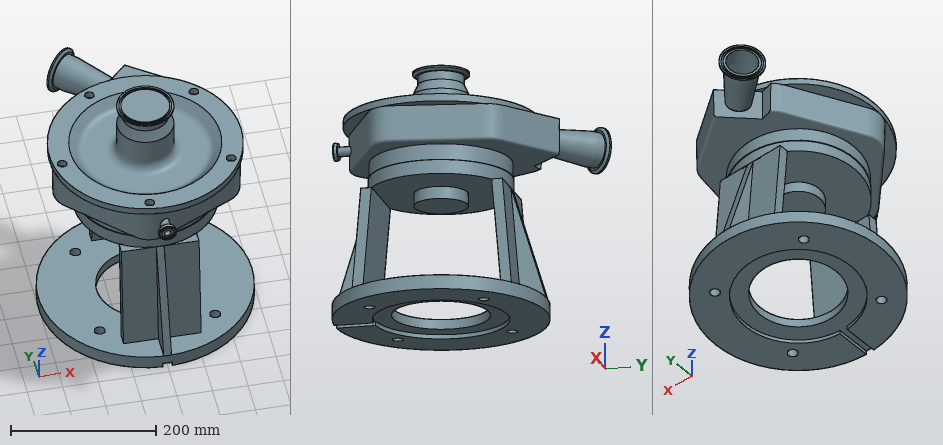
import cadquery as cq
import math

overall_length = 379.0

base_top = 20.0
stub_bottom = 162.5
ring_bottom = 180.0
ring_top = 200.0
casing_bottom = 222.8
flange_top = 284.0
flange_thickness = 10.2
neck_shoulder = 320.0
neck_waist = 335.3
overall_height = 353.0
casing_top = flange_top - flange_thickness
outlet_height = 249.3
drain_height = 250.5

base_radius = 150.0
base_bore_radius = 68.2
base_recess_radius = 94.7
base_recess_depth = 6.0
base_hole_diameter = 14.8
base_hole_circle = 114.8
base_hole_count = 4
vent_slot_width = 13.3

leg_width = 109.0
leg_thickness = 15.0
leg_outer_foot = 114.0
leg_outer_head = 100.5
rib_thickness = 11.0

ring_radius = 100.5
collar_radius = 99.3
stub_radius = 37.5
flange_radius = 135.0
dish_depth = 15.5
dish_rim_radius = 105.5
dish_blend_radius = 15.0
dish_taper = 45.0
neck_radius = 39.5
waist_radius = 32.2
neck_blend_radius = 15.0

corner_count = 5
corner_step = 360 / corner_count
first_corner_angle = 45.0
bolt_circle = 122.5
bolt_hole_diameter = 13.0

corner_circle = 99.0
corner_radius = 35.0
casing_draft = 1.0
throat_shift = 11.0
throat_lip_angle = 124.0
casing_edge_radius = 3.8

outlet_angle = 135.0
outlet_offset = 90.5
outlet_wall_distance = 115.0
outlet_block_half_width = 33.5
outlet_bevel = 4.0
outlet_small_radius = 18.5
outlet_large_radius = 25.0
outlet_taper_end = 181.0
outlet_face_distance = 199.5
outlet_flange_radius = 32.2
outlet_bore_radius = 22.7
outlet_throat_radius = 22.5
outlet_bore_end_radius = 13.3
outlet_bore_straight = 13.0
outlet_bore_throat = 26.5

outlet_reach = (outlet_face_distance + outlet_offset + outlet_flange_radius) * math.sqrt(0.5)
drain_face_distance = overall_length - outlet_reach
drain_tube_radius = 7.0
drain_bore_radius = 4.5
drain_flange_radius = 12.5
drain_back_drop = 0.8

lip_thickness = 2.5
clamp_thickness = 5.5
clamp_back_drop = 4.0
groove_depth = 1.0
groove_width = 2.5
groove_start = 1.5


def polar(radius, angle):
    """Point at a distance and an angle in degrees from the origin."""
    turn = math.radians(angle)
    return (radius * math.cos(turn), radius * math.sin(turn))


def shifted(point, distance, angle):
    """Point moved by a distance in a direction given in degrees."""
    step = polar(distance, angle)
    return (point[0] + step[0], point[1] + step[1])


def reach(point, angle):
    """How far a point lies from the origin along a direction given in degrees."""
    turn = math.radians(angle)
    return point[0] * math.cos(turn) + point[1] * math.sin(turn)


def cylinder(radius, bottom, top):
    """Upright cylinder on the main axis."""
    return cq.Workplane("XY").workplane(offset=bottom).circle(radius).extrude(top - bottom)


def clamp_outline(outline, tube_radius, lip_radius, face, back_drop=clamp_back_drop):
    """Continue a half section up a tube and over its clamp flange to the grooved face."""
    groove_inner = tube_radius + groove_start
    groove_outer = groove_inner + groove_width
    return (
        outline.lineTo(tube_radius, face - clamp_thickness)
        .lineTo(lip_radius - back_drop, face - clamp_thickness)
        .lineTo(lip_radius, face - lip_thickness)
        .lineTo(lip_radius, face)
        .lineTo(groove_outer, face)
        .lineTo(groove_outer, face - groove_depth)
        .lineTo(groove_inner, face - groove_depth)
        .lineTo(groove_inner, face)
    )


def make_base():
    plate = cylinder(base_radius, 0, base_top)
    bore = cylinder(base_bore_radius, 0, base_top)
    recess = cylinder(base_recess_radius, 0, base_recess_depth)
    holes = (
        cq.Workplane("XY")
        .polarArray(base_hole_circle, 45, 360, base_hole_count)
        .circle(base_hole_diameter / 2)
        .extrude(base_top)
    )
    slot = cq.Workplane("XY").box(
        vent_slot_width, base_radius, base_recess_depth, centered=(True, False, False)
    ).translate((0, -base_radius, 0))
    return plate.cut(bore).cut(recess).cut(holes).cut(slot)


def make_leg():
    """Leaning plate with a triangular outer rib, on the -Y side."""
    plate = (
        cq.Workplane("YZ")
        .moveTo(-leg_outer_foot, base_top)
        .lineTo(-leg_outer_head, ring_bottom)
        .lineTo(leg_thickness - leg_outer_head, ring_bottom)
        .lineTo(leg_thickness - leg_outer_foot, base_top)
        .close()
        .extrude(leg_width / 2, both=True)
    )
    rib = (
        cq.Workplane("YZ")
        .moveTo(-base_radius, base_top)
        .lineTo(-leg_outer_head, ring_bottom)
        .lineTo(-leg_outer_foot, base_top)
        .close()
        .extrude(rib_thickness / 2, both=True)
    )
    return plate.union(rib)


def make_body():
    """Turned core: stub, ring, collar, flange and inlet neck."""
    outline = (
        cq.Workplane("XZ")
        .moveTo(0, stub_bottom)
        .lineTo(stub_radius, stub_bottom)
        .lineTo(stub_radius, ring_bottom)
        .lineTo(ring_radius, ring_bottom)
        .lineTo(ring_radius, ring_top)
        .lineTo(collar_radius, ring_top)
        .lineTo(collar_radius, casing_top)
        .lineTo(flange_radius, casing_top)
        .lineTo(flange_radius, flange_top)
        .lineTo(neck_radius, flange_top)
        .lineTo(neck_radius, neck_shoulder)
        .lineTo(waist_radius, neck_waist)
    )
    outline = clamp_outline(outline, waist_radius, neck_radius, overall_height)
    return outline.lineTo(0, overall_height).close().revolve(360, (0, 0), (0, 1))


def make_dish():
    """Ring-shaped hollow sunk into the flange around the neck."""
    floor = flange_top - dish_depth
    taper = math.radians(dish_taper)
    blend_rise = dish_blend_radius * (1 - math.cos(taper))
    blend_outer = dish_rim_radius - (dish_depth - blend_rise) / math.tan(taper)
    blend_inner = blend_outer - dish_blend_radius * math.sin(taper)
    blend_mid = (
        blend_inner + dish_blend_radius * math.sin(taper / 2),
        floor + dish_blend_radius * (1 - math.cos(taper / 2)),
    )
    neck_blend_mid = (
        neck_radius + neck_blend_radius * (1 - math.sqrt(0.5)),
        floor + neck_blend_radius * (1 - math.sqrt(0.5)),
    )
    outline = (
        cq.Workplane("XZ")
        .moveTo(neck_radius, flange_top)
        .lineTo(dish_rim_radius, flange_top)
        .lineTo(blend_outer, floor + blend_rise)
        .threePointArc(blend_mid, (blend_inner, floor))
        .lineTo(neck_radius + neck_blend_radius, floor)
        .threePointArc(neck_blend_mid, (neck_radius, floor + neck_blend_radius))
        .close()
    )
    return outline.revolve(360, (0, 0), (0, 1))


def make_casing():
    """Five-sided casing with round corners, swelling into the outlet block between two of them."""
    half_step = corner_step / 2
    start_angle = first_corner_angle
    end_angle = first_corner_angle + corner_step
    start_centre = shifted(
        polar(corner_circle, start_angle), throat_shift, start_angle - half_step + 90
    )
    end_centre = shifted(polar(corner_circle, end_angle), throat_shift, end_angle + half_step - 90)

    wall_angle = start_angle + corner_step / 8
    wall_distance = reach(start_centre, wall_angle) + corner_radius
    front_distance = reach(end_centre, outlet_angle) + corner_radius
    wall_turn = math.radians(outlet_angle - wall_angle)
    peak_offset = (wall_distance - front_distance * math.cos(wall_turn)) / math.sin(wall_turn)
    peak = shifted(polar(front_distance, outlet_angle), peak_offset, outlet_angle - 90)

    def on_corner(centre, angle):
        return shifted(centre, corner_radius, angle)

    end_wall_angle = end_angle + half_step
    outline = (
        cq.Workplane("XY")
        .workplane(offset=casing_bottom)
        .moveTo(*on_corner(start_centre, start_angle - half_step))
        .threePointArc(
            on_corner(start_centre, (start_angle - half_step + wall_angle) / 2),
            on_corner(start_centre, wall_angle),
        )
        .lineTo(*peak)
        .lineTo(*on_corner(end_centre, outlet_angle))
        .threePointArc(
            on_corner(end_centre, (outlet_angle + end_wall_angle) / 2),
            on_corner(end_centre, end_wall_angle),
        )
    )
    for corner in range(2, corner_count):
        angle = first_corner_angle + corner * corner_step
        centre = polar(corner_circle, angle)
        outline = outline.lineTo(*on_corner(centre, angle - half_step)).threePointArc(
            on_corner(centre, angle), on_corner(centre, angle + half_step)
        )
    casing = outline.close().extrude(casing_top - casing_bottom, taper=-casing_draft)
    casing = casing.faces("<Z").edges().fillet(casing_edge_radius)

    outlet_wall = polar(outlet_wall_distance, outlet_angle)
    notch = shifted(outlet_wall, outlet_offset - outlet_block_half_width, outlet_angle - 90)
    lip = on_corner(end_centre, throat_lip_angle)
    beyond_lip = (2 * lip[0] - notch[0], 2 * lip[1] - notch[1])
    beyond_peak = shifted(notch, 4 * outlet_block_half_width, outlet_angle - 90)
    recess = (
        cq.Workplane("XY")
        .workplane(offset=casing_bottom)
        .moveTo(*notch)
        .lineTo(*beyond_lip)
        .lineTo(*shifted(beyond_peak, outlet_wall_distance, outlet_angle))
        .lineTo(*beyond_peak)
        .close()
        .extrude(casing_top - casing_bottom)
    )
    return casing.cut(recess)


def along_port(half_section, angle, offset, height):
    """Turn an upright port so that it points outwards at an angle, beside the main axis."""
    side = polar(offset, angle - 90)
    return (
        half_section.revolve(360, (0, 0), (0, 1))
        .rotate((0, 0, 0), (0, 1, 0), 90)
        .rotate((0, 0, 0), (0, 0, 1), angle)
        .translate((side[0], side[1], height))
    )


def make_outlet():
    outline = (
        cq.Workplane("XZ")
        .moveTo(outlet_bore_end_radius, outlet_wall_distance)
        .lineTo(outlet_small_radius - outlet_bevel, outlet_wall_distance)
        .lineTo(outlet_small_radius, outlet_wall_distance + outlet_bevel)
        .lineTo(outlet_large_radius, outlet_taper_end)
    )
    outline = (
        clamp_outline(outline, outlet_large_radius, outlet_flange_radius, outlet_face_distance)
        .lineTo(outlet_bore_radius, outlet_face_distance)
        .lineTo(outlet_bore_radius, outlet_face_distance - outlet_bore_straight)
        .lineTo(outlet_throat_radius, outlet_face_distance - outlet_bore_throat)
        .close()
    )
    return along_port(outline, outlet_angle, outlet_offset, outlet_height)


def make_drain():
    """Drain tube, started inside the casing wall so that its root follows the wall."""
    outline = (
        cq.Workplane("XZ")
        .moveTo(drain_bore_radius, corner_circle)
        .lineTo(drain_tube_radius, corner_circle)
    )
    outline = (
        clamp_outline(
            outline, drain_tube_radius, drain_flange_radius, drain_face_distance, drain_back_drop
        )
        .lineTo(drain_bore_radius, drain_face_distance)
        .close()
    )
    return along_port(outline, -90, 0, drain_height)


bolt_holes = (
    cq.Workplane("XY")
    .workplane(offset=casing_top)
    .polarArray(bolt_circle, first_corner_angle, 360, corner_count)
    .circle(bolt_hole_diameter / 2)
    .extrude(flange_thickness)
)

leg = make_leg()
body = make_body().cut(bolt_holes)
result = (
    make_base()
    .union(leg)
    .union(leg.mirror("XZ"))
    .union(body)
    .union(make_casing())
    .cut(make_dish())
    .union(make_outlet())
    .union(make_drain())
)